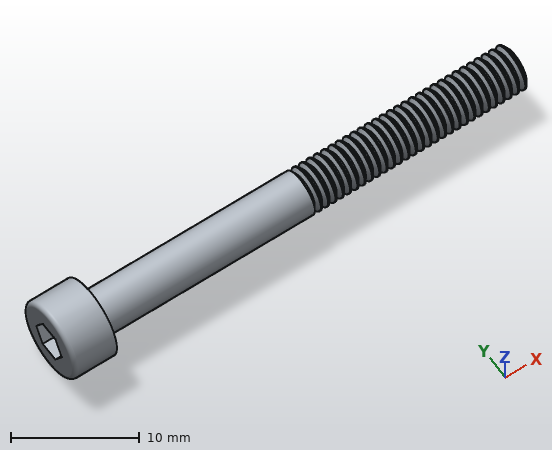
import cadquery as cq
import math

total_length = 44.0
nominal_diameter = 4.0
nominal_radius = nominal_diameter / 2

head_diameter = 7.0
head_radius = head_diameter / 2
head_height = 4.0
head_edge_radius = 0.4
neck_fillet_radius = 0.2

socket_across_flats = 3.0
socket_depth = 2.0
drill_point_angle = 120.0

thread_length = 20.0
ridge_count = 29
thread_pitch = thread_length / ridge_count
thread_depth = 0.39
crest_width = 0.14
valley_half_width = (thread_pitch - crest_width) / 2
root_radius = nominal_radius - thread_depth

head_face_x = -total_length / 2
bearing_x = head_face_x + head_height
tip_x = total_length / 2
thread_start_x = tip_x - thread_length


def screw_body():
    """Head, neck, shank and ringed thread, turned from one profile."""
    profile = (
        cq.Workplane("XY")
        .moveTo(head_face_x, 0)
        .lineTo(head_face_x, head_radius - head_edge_radius)
        .radiusArc((head_face_x + head_edge_radius, head_radius), head_edge_radius)
        .lineTo(bearing_x, head_radius)
        .lineTo(bearing_x, nominal_radius + neck_fillet_radius)
        .radiusArc((bearing_x + neck_fillet_radius, nominal_radius), -neck_fillet_radius)
    )
    for valley in range(ridge_count):
        valley_x = thread_start_x + valley * thread_pitch
        profile = (
            profile
            .lineTo(valley_x - valley_half_width, nominal_radius)
            .lineTo(valley_x, root_radius)
            .lineTo(valley_x + valley_half_width, nominal_radius)
        )
    profile = (
        profile
        .lineTo(tip_x - valley_half_width, nominal_radius)
        .lineTo(tip_x, root_radius)
        .lineTo(tip_x, 0)
        .close()
    )
    return profile.revolve(360, (0, 0, 0), (1, 0, 0))


def hex_socket():
    """Hexagonal recess, sunk into the head face."""
    across_corners = socket_across_flats / math.cos(math.radians(30))
    return (
        cq.Workplane("YZ", origin=(head_face_x, 0, 0))
        .polygon(6, across_corners)
        .extrude(socket_depth)
    )


def socket_drill_point():
    """Conical bottom of the socket, as wide as the hexagon's flats."""
    cone_radius = socket_across_flats / 2
    cone_depth = cone_radius / math.tan(math.radians(drill_point_angle / 2))
    socket_floor_x = head_face_x + socket_depth
    return (
        cq.Workplane("XY")
        .moveTo(socket_floor_x, 0)
        .lineTo(socket_floor_x, cone_radius)
        .lineTo(socket_floor_x + cone_depth, 0)
        .close()
        .revolve(360, (0, 0, 0), (1, 0, 0))
    )


result = screw_body().cut(hex_socket()).cut(socket_drill_point())